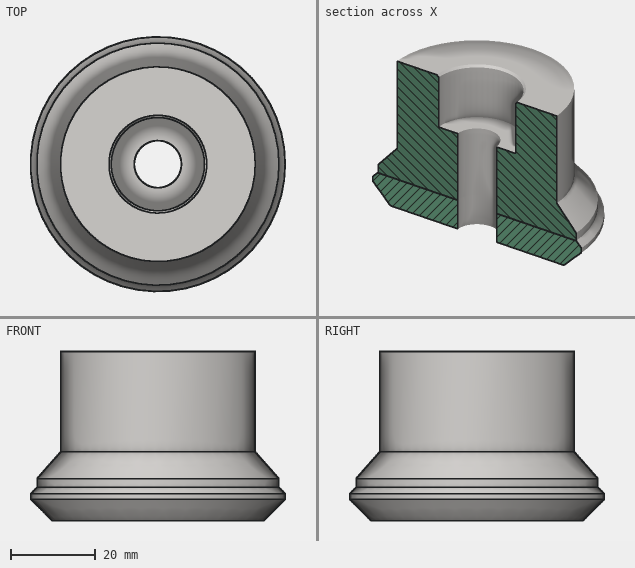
import cadquery as cq

rim_diameter = 60.1
rim_radius = rim_diameter / 2
lower_bevel = 5.1
rim_height = 1.25
upper_bevel = 1.5
base_top_radius = rim_radius - upper_bevel
rim_top_z = lower_bevel + rim_height
bevel_height = 1.55
base_height = rim_top_z + bevel_height

total_height = 40.0
collar_height = 2.05
cone_height = 6.3
neck_radius = 22.95
collar_top_z = base_height + collar_height
cone_top_z = collar_top_z + cone_height

hole_radius = 5.55
counterbore_radius = 11.0
counterbore_depth = 14.0
mouth_chamfer = 0.55
counterbore_floor_z = total_height - counterbore_depth


def revolve_profile(points):
    """Revolve a closed outline of (radius, z) points about the Z axis."""
    return cq.Workplane("XZ").polyline(points).close().revolve(360, (0, 0, 0), (0, 1, 0))


def make_base():
    """Bevelled ring with a plain through hole."""
    return revolve_profile([
        (hole_radius, 0),
        (rim_radius - lower_bevel, 0),
        (rim_radius, lower_bevel),
        (rim_radius, rim_top_z),
        (base_top_radius, base_height),
        (hole_radius, base_height),
    ])


def make_hub():
    """Collar, cone and cylindrical neck with a chamfered counterbore."""
    return revolve_profile([
        (hole_radius, base_height),
        (base_top_radius, base_height),
        (base_top_radius, collar_top_z),
        (neck_radius, cone_top_z),
        (neck_radius, total_height),
        (counterbore_radius + mouth_chamfer, total_height),
        (counterbore_radius, total_height - mouth_chamfer),
        (counterbore_radius, counterbore_floor_z),
        (hole_radius, counterbore_floor_z),
    ])


base = make_base()
hub = make_hub()

result = cq.Compound.makeCompound([base.val(), hub.val()])